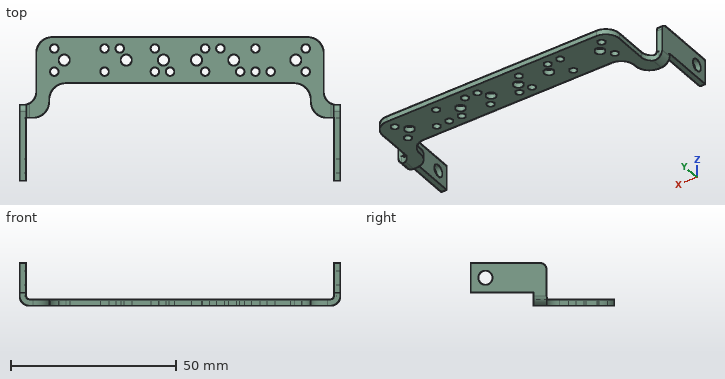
import cadquery as cq

WIDTH = 97.0
DEPTH = 43.5
HEIGHT = 13.0
THICKNESS = 2.0

PLATE_WIDTH = 87.0
PLATE_DEPTH = 14.0
ARM_WIDTH = 4.0
CORNER_RADIUS = 5.0
ARM_OUTER_RADIUS = 3.8

TAB_LENGTH = 23.0
TAB_HEIGHT = 9.0
TAB_REACH = 19.0
TAB_CORNER_RADIUS = 2.0
TAB_HOLE_DIAMETER = 4.2
BEND_INNER_RADIUS = 1.0

COLUMNS = 6
PITCH = 15.2
PAIR_OFFSET = 4.6
ROW_SPACING = 7.0
SMALL_HOLE_DIAMETER = 2.5
LARGE_HOLE_DIAMETER = 3.3
LARGE_HOLE_DISTANCES = (5.0, 16.25, 35.0)

HALF_WIDTH = WIDTH / 2
HALF_PLATE = PLATE_WIDTH / 2
ARM_INNER_X = HALF_PLATE - ARM_WIDTH
ARM_FRONT_Y = TAB_REACH - DEPTH
TAB_BACK_Y = TAB_LENGTH - DEPTH
TAB_BOTTOM_Z = HEIGHT - TAB_HEIGHT
BEND_OUTER_RADIUS = BEND_INNER_RADIUS + THICKNESS


def half_footprint():
    """Block with the plan outline of the plate's right half and its arm, as tall as the bend."""
    blank = (
        cq.Workplane("XY")
        .lineTo(HALF_PLATE, 0)
        .lineTo(HALF_PLATE, TAB_BACK_Y)
        .lineTo(HALF_WIDTH, TAB_BACK_Y)
        .lineTo(HALF_WIDTH, ARM_FRONT_Y)
        .lineTo(ARM_INNER_X, ARM_FRONT_Y)
        .lineTo(ARM_INNER_X, -PLATE_DEPTH)
        .lineTo(0, -PLATE_DEPTH)
        .close()
        .extrude(BEND_OUTER_RADIUS)
    )

    def corner(x, y):
        return cq.selectors.NearestToPointSelector((x, y, BEND_OUTER_RADIUS / 2))

    blank = blank.edges(corner(HALF_PLATE, 0)).fillet(CORNER_RADIUS)
    blank = blank.edges(corner(ARM_INNER_X, -PLATE_DEPTH)).fillet(CORNER_RADIUS)
    blank = blank.edges(corner(ARM_INNER_X, ARM_FRONT_Y)).fillet(CORNER_RADIUS)
    return blank.edges(corner(HALF_PLATE, TAB_BACK_Y)).fillet(ARM_OUTER_RADIUS)


def half_bent_strip():
    """Flat sheet with its right end bent upward, as deep as the plate and arm together."""
    inner_x = HALF_WIDTH - THICKNESS
    bend_x = HALF_WIDTH - BEND_OUTER_RADIUS
    return (
        cq.Workplane("XZ")
        .lineTo(bend_x, 0)
        .tangentArcPoint((HALF_WIDTH, BEND_OUTER_RADIUS), relative=False)
        .lineTo(inner_x, BEND_OUTER_RADIUS)
        .radiusArc((bend_x, THICKNESS), BEND_INNER_RADIUS)
        .lineTo(0, THICKNESS)
        .close()
        .extrude(-ARM_FRONT_Y)
    )


def tab():
    """Upright tab rising from the right bend, with a hole equally far from its three free edges."""
    side_face = cq.Workplane("YZ", origin=(HALF_WIDTH - THICKNESS, 0, 0))
    plate = (
        side_face.moveTo(TAB_BACK_Y, BEND_OUTER_RADIUS)
        .lineTo(TAB_BACK_Y, HEIGHT)
        .lineTo(-DEPTH, HEIGHT)
        .lineTo(-DEPTH, TAB_BOTTOM_Z)
        .lineTo(ARM_FRONT_Y, TAB_BOTTOM_Z)
        .lineTo(ARM_FRONT_Y, BEND_OUTER_RADIUS)
        .close()
        .extrude(THICKNESS)
        .edges("|X and >Y and >Z")
        .fillet(TAB_CORNER_RADIUS)
    )
    hole_inset = TAB_HEIGHT / 2
    hole = (
        side_face.center(hole_inset - DEPTH, HEIGHT - hole_inset)
        .circle(TAB_HOLE_DIAMETER / 2)
        .extrude(THICKNESS)
    )
    return plate.cut(hole)


def plate_holes():
    """Two rows of small holes on a common pitch, with extras, and a middle row of large holes."""
    middle_y = -PLATE_DEPTH / 2
    back_y = middle_y + ROW_SPACING / 2
    front_y = middle_y - ROW_SPACING / 2

    columns = [(i - (COLUMNS - 1) / 2) * PITCH for i in range(COLUMNS)]
    small = [(x, y) for x in columns for y in (back_y, front_y)]
    small += [(columns[i] + PAIR_OFFSET, back_y) for i in (1, 3)]
    small += [(columns[i] + PAIR_OFFSET, front_y) for i in (2, 4)]
    small.append((columns[4] - PAIR_OFFSET, front_y))
    large = [(side * x, middle_y) for x in LARGE_HOLE_DISTANCES for side in (-1, 1)]

    small_cutters = cq.Workplane("XY").pushPoints(small).circle(SMALL_HOLE_DIAMETER / 2).extrude(THICKNESS)
    large_cutters = cq.Workplane("XY").pushPoints(large).circle(LARGE_HOLE_DIAMETER / 2).extrude(THICKNESS)
    return small_cutters.union(large_cutters)


right_half = half_bent_strip().intersect(half_footprint()).union(tab())
result = right_half.union(right_half.mirror("YZ")).cut(plate_holes()).clean()